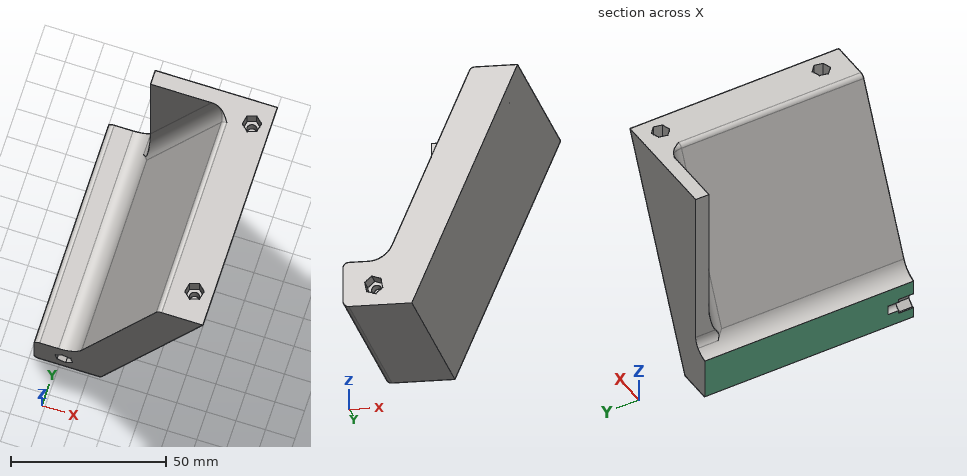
import cadquery as cq
import math

width = 57.2
depth = 78.3
height = 79.0

foot_height = 15.0
foot_bottom_length = 22.6
foot_edge_radius = 2.0
plate_thickness = 14.0
cove_radius = 8.5
top_edge_radius = 2.0

wall_front_x = 15.8
wall_thickness = 5.0
wall_fillet = 5.0

hole_diameter = 3.3
hole_depth = 9.5
nut_across_flats = 5.4
nut_depth = 5.5
foot_hole_x = 10.1
foot_hole_z = 6.9
foot_nut_angle = 42.0
top_hole_x = 51.0
top_hole_edge_offset = 7.8
top_hole_spacing = 60.3
top_nut_angle = 18.0

lean = math.atan2(width - foot_bottom_length, height)
along = (math.sin(lean), math.cos(lean))
normal = (-math.cos(lean), math.sin(lean))
lean_degrees = math.degrees(lean)


def inner_face_x(z):
    """X of the plate's inner face at height z."""
    return foot_bottom_length + z * math.tan(lean) - plate_thickness / math.cos(lean)


def on_circle(center, radius, degrees):
    angle = math.radians(degrees)
    return (center[0] + radius * math.cos(angle), center[1] + radius * math.sin(angle))


cove_center_z = foot_height + cove_radius
cove_center = (inner_face_x(cove_center_z) - cove_radius / math.cos(lean), cove_center_z)

round_center_z = height - top_edge_radius
round_center = (inner_face_x(round_center_z) + top_edge_radius / math.cos(lean), round_center_z)


def extrude_along_y(profile, y_start, y_end):
    """Extrude an XZ outline between two Y positions."""
    return profile.extrude(y_start - y_end).translate((0, y_start, 0))


def make_plate():
    cove_end_angle = -lean_degrees
    round_start_angle = 180 - lean_degrees
    profile = (
        cq.Workplane("XZ")
        .moveTo(0, 0)
        .lineTo(foot_bottom_length, 0)
        .lineTo(width, height)
        .lineTo(round_center[0], height)
        .threePointArc(
            on_circle(round_center, top_edge_radius, (90 + round_start_angle) / 2),
            on_circle(round_center, top_edge_radius, round_start_angle),
        )
        .lineTo(*on_circle(cove_center, cove_radius, cove_end_angle))
        .threePointArc(
            on_circle(cove_center, cove_radius, (cove_end_angle - 90) / 2),
            (cove_center[0], foot_height),
        )
        .lineTo(0, foot_height)
        .close()
    )
    plate = extrude_along_y(profile, 0, depth)
    return plate.edges("|Y and <X").fillet(foot_edge_radius)


def make_wall_block():
    """Wall, thick enough to hold its inner fillet, blended into the cove at its foot."""
    blend_center_x = wall_front_x - wall_fillet
    offset_x = blend_center_x - cove_center[0]
    offset_z = -math.sqrt((cove_radius - wall_fillet) ** 2 - offset_x**2)
    blend_center = (blend_center_x, cove_center[1] + offset_z)
    touch_angle = math.degrees(math.atan2(offset_z, offset_x))
    touch = on_circle(blend_center, wall_fillet, touch_angle)
    profile = (
        cq.Workplane("XZ")
        .moveTo(*touch)
        .threePointArc(
            on_circle(blend_center, wall_fillet, touch_angle / 2),
            (wall_front_x, blend_center[1]),
        )
        .lineTo(wall_front_x, height)
        .lineTo(width, height)
        .lineTo(foot_bottom_length + touch[1] * math.tan(lean), touch[1])
        .close()
    )
    return extrude_along_y(profile, depth - wall_thickness - wall_fillet, depth)


def recess_section():
    """Recess outline across the plate: x is the distance from the top round's axis, y runs along +Y."""
    reach = width
    wall_y = depth - wall_thickness
    arc_inset = wall_fillet * (1 - math.sqrt(0.5))
    section_plane = cq.Plane(
        origin=(round_center[0], 0, round_center[1]),
        xDir=(normal[0], 0, normal[1]),
        normal=(-along[0], 0, -along[1]),
    )
    return (
        cq.Workplane(section_plane)
        .moveTo(top_edge_radius, 0)
        .lineTo(top_edge_radius, wall_y - wall_fillet)
        .threePointArc(
            (top_edge_radius + arc_inset, wall_y - arc_inset),
            (top_edge_radius + wall_fillet, wall_y),
        )
        .lineTo(reach, wall_y)
        .lineTo(reach, 0)
        .close()
    )


def make_recess():
    """Space beside the wall, its corner fillet following the plate and over the top round."""
    down_the_plate = recess_section().extrude(2 * height)
    over_the_top = recess_section().revolve(90 - lean_degrees, (0, 0), (0, 1))
    return down_the_plate.union(over_the_top)


def make_nut_hole(plane, nut_angle):
    """Blind screw hole with a hexagonal pocket, sunk from the plane's origin."""
    nut_circle = nut_across_flats / math.cos(math.pi / 6)
    hole = cq.Workplane(plane).circle(hole_diameter / 2).extrude(-hole_depth)
    pocket_plane = plane.rotated((0, 0, nut_angle))
    pocket = cq.Workplane(pocket_plane).polygon(6, nut_circle).extrude(-nut_depth)
    return hole.union(pocket)


result = make_plate().union(make_wall_block().cut(make_recess()))

foot_hole_plane = cq.Plane(origin=(foot_hole_x, 0, foot_hole_z), xDir=(1, 0, 0), normal=(0, -1, 0))
result = result.cut(make_nut_hole(foot_hole_plane, foot_nut_angle))

back_hole_y = depth - top_hole_edge_offset
for hole_y in (back_hole_y - top_hole_spacing, back_hole_y):
    top_hole_plane = cq.Plane(origin=(top_hole_x, hole_y, height))
    result = result.cut(make_nut_hole(top_hole_plane, top_nut_angle))